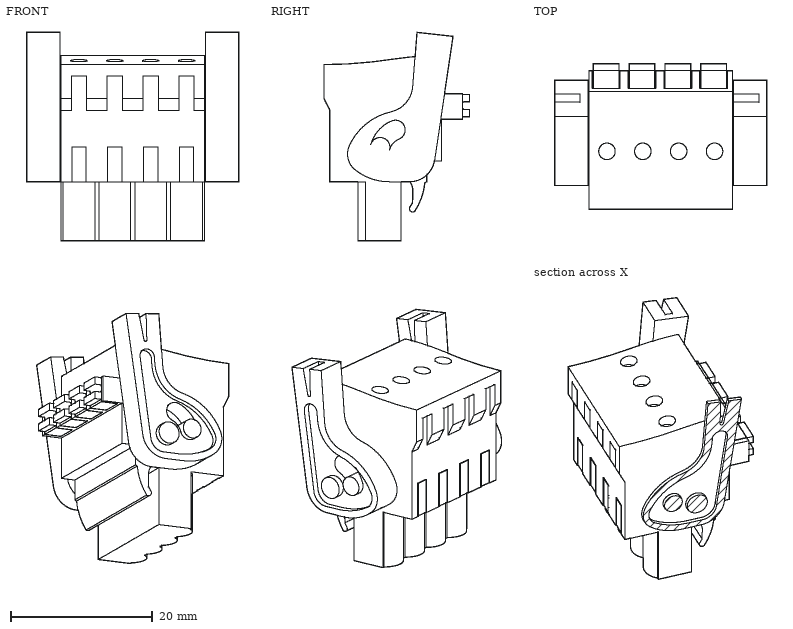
import cadquery as cq
import math


overall_width = 30.02
pole_count = 4
pole_pitch = 5.07
pole_positions = [(i - (pole_count - 1) / 2) * pole_pitch for i in range(pole_count)]

housing_width = 20.35
front_edge_height = 16.6
crest_y = 9.88
crest_height = 17.38
back_y = 16.7
back_edge_height = 17.9
lower_front_y = 0.85
overhang_bottom = 11.8
overhang_root = 10.12
foot_back_y = 14.6
foot_height = 2.9

ledge_back_y = 19.63
ledge_bottom = 8.83
ledge_top = 12.45

skirt_back_y = 10.95
skirt_front_y = 5.9
skirt_length = 8.35
barrel_chord = 4.47
barrel_bulge = 1.1

hole_diameter = 2.35
hole_y = 8.23
hole_floor = 15.7
upper_slot_width = 2.15
upper_slot_top = 14.95
lower_slot_width = 2.05
lower_slot_top = 4.95
lower_slot_depth = 0.12

button_offset = -0.12
button_width = 3.65
button_pocket_width = 3.87
button_front_y = 17.15
button_back_y = 20.65
prong_bottom = 9.2
prong_top = 12.37
prong_gap = (prong_top - prong_bottom) / 3
prong_root_radius = 0.25

lever_width = 4.75
lever_inner_x = overall_width / 2 - lever_width
arm_top = 21.15
recess_depth = 1.0
recess_bottom = 0.93
slit_depth = 3.6
pivot_y = 11.6
pivot_z = 3.87
pivot_radius = 1.55
guide_orbit = 3.75
guide_radius = 1.38
guide_angle = 164.3
guide_slot_end_angle = 112.7


def level_end_radius(run, rise):
    """Radius of an arc that is level at one end and climbs `rise` over `run`."""
    return (run ** 2 + rise ** 2) / (2 * rise)


def side_sketch(x):
    """Workplane at this X, with local axes Y and Z, extruding toward +X."""
    return cq.Workplane("YZ", origin=(x, 0, 0))


def box(x_mid, width, y_min, y_max, z_min, z_max):
    """Box centred on x_mid, between the given Y and Z limits."""
    size = (width, y_max - y_min, z_max - z_min)
    corner = (x_mid - width / 2, y_min, z_min)
    return cq.Workplane("XY", origin=corner).box(*size, centered=False)


def housing_body():
    """Extruded side profile, with a top that dips to the front and levels at the back."""
    front_sweep = level_end_radius(crest_y, crest_height - front_edge_height)
    back_sweep = level_end_radius(back_y - crest_y, back_edge_height - crest_height)
    return (
        side_sketch(-housing_width / 2)
        .moveTo(0, overhang_bottom)
        .lineTo(0, front_edge_height)
        .radiusArc((crest_y, crest_height), -front_sweep)
        .radiusArc((back_y, back_edge_height), back_sweep)
        .lineTo(back_y, ledge_top)
        .lineTo(ledge_back_y, ledge_top)
        .lineTo(ledge_back_y, ledge_bottom)
        .lineTo(back_y, ledge_bottom)
        .lineTo(back_y, foot_height)
        .lineTo(foot_back_y, foot_height)
        .lineTo(foot_back_y, 0)
        .lineTo(lower_front_y, 0)
        .lineTo(lower_front_y, overhang_root)
        .close()
        .extrude(housing_width)
    )


def latch_hook():
    """Hooked lip that hangs below the back of the housing."""
    return (
        side_sketch(-housing_width / 2)
        .moveTo(foot_back_y, 0)
        .lineTo(14.32, -0.15)
        .threePointArc((13.75, -2.52), (12.85, -4.23))
        .threePointArc((12.37, -4.23), (12.15, -3.6))
        .lineTo(12.55, -2.97)
        .lineTo(12.58, -1.08)
        .threePointArc((12.45, -0.55), (12.2, 0))
        .close()
        .extrude(housing_width)
    )


def plug_skirt():
    """Block below the body, with one bulging barrel per pole on its front."""
    skirt = box(0, housing_width, skirt_front_y, skirt_back_y, -skirt_length, 0)
    for x in pole_positions:
        barrel = (
            cq.Workplane("XY", origin=(x, skirt_front_y, -skirt_length))
            .moveTo(-barrel_chord / 2, 0)
            .threePointArc((0, -barrel_bulge), (barrel_chord / 2, 0))
            .close()
            .extrude(skirt_length)
        )
        skirt = skirt.union(barrel)
    return skirt


def pole_openings(x):
    """Everything cut from the housing at one pole."""
    test_hole = (
        cq.Workplane("XY", origin=(x, hole_y, hole_floor))
        .circle(hole_diameter / 2)
        .extrude(back_edge_height - hole_floor)
    )
    upper_slot = box(x, upper_slot_width, 0, lower_front_y, overhang_root, upper_slot_top)
    lower_slot = box(
        x, lower_slot_width, lower_front_y, lower_front_y + lower_slot_depth, 0, lower_slot_top
    )
    button_pocket = box(
        x + button_offset, button_pocket_width, button_front_y, ledge_back_y, ledge_bottom, ledge_top
    )
    return test_hole, upper_slot, lower_slot, button_pocket


def make_housing():
    housing = housing_body().union(latch_hook()).union(plug_skirt())
    for x in pole_positions:
        for opening in pole_openings(x):
            housing = housing.cut(opening)
    return housing


def make_button(x):
    """Block filling a ledge pocket, with two prongs on its back."""
    body = box(x, button_width, button_front_y, ledge_back_y, ledge_bottom, ledge_top)
    prongs = box(x, button_width, ledge_back_y, button_back_y, prong_bottom, prong_top)
    gap = box(
        x, button_width, ledge_back_y, button_back_y,
        prong_bottom + prong_gap, prong_top - prong_gap,
    )
    rounded_gap = gap.edges("|X and <Y").fillet(prong_root_radius)
    return body.union(prongs).cut(rounded_gap)


def lever_blank(x):
    """Solid lever: a leaning arm that flows through tangent arcs into a rounded foot."""
    return (
        side_sketch(x)
        .moveTo(15.7, 3.1)
        .lineTo(18.3, 20.6)
        .lineTo(13.18, arm_top)
        .lineTo(12.58, 13.45)
        .tangentArcPoint((9.52, 9.9), relative=False)
        .tangentArcPoint((3.95, 5.8), relative=False)
        .lineTo(3.65, 5.2)
        .tangentArcPoint((4.4, 1.7), relative=False)
        .tangentArcPoint((9.5, 0), relative=False)
        .lineTo(12.13, 0)
        .tangentArcPoint((15.7, 3.1), relative=False)
        .close()
        .extrude(lever_width)
    )


def lever_recess(x):
    """Shallow pocket that follows the lever outline inside a narrow rim."""
    return (
        side_sketch(x)
        .moveTo(14.45, 2.7)
        .lineTo(16.12, 14.47)
        .tangentArcPoint((13.9, 14.47), relative=False)
        .lineTo(13.78, 13.42)
        .tangentArcPoint((9.9, 8.98), relative=False)
        .tangentArcPoint((4.47, 4.6), relative=False)
        .tangentArcPoint((5.15, 2.28), relative=False)
        .tangentArcPoint((10.05, recess_bottom), relative=False)
        .lineTo(12.4, recess_bottom)
        .tangentArcPoint((14.45, 2.7), relative=False)
        .close()
        .extrude(recess_depth)
    )


def lever_slit(x):
    """Tapered slit with a round end, open at the top of the arm."""
    return (
        side_sketch(x)
        .moveTo(16.4, arm_top)
        .lineTo(15.52, 17.05)
        .threePointArc((15.28, 16.85), (15.07, 17.05))
        .lineTo(15.2, arm_top)
        .close()
        .extrude(slit_depth)
    )


def around_pivot(radius, angle):
    """Point at this radius and angle about the lever pivot."""
    turn = math.radians(angle)
    return pivot_y + radius * math.cos(turn), pivot_z + radius * math.sin(turn)


def guide_slot(x):
    """Slot through the lever, curved about the pivot."""
    inner = guide_orbit - guide_radius
    outer = guide_orbit + guide_radius
    middle_angle = (guide_angle + guide_slot_end_angle) / 2
    band = (
        side_sketch(x)
        .moveTo(*around_pivot(inner, guide_angle))
        .threePointArc(
            around_pivot(inner, middle_angle), around_pivot(inner, guide_slot_end_angle)
        )
        .lineTo(*around_pivot(outer, guide_slot_end_angle))
        .threePointArc(around_pivot(outer, middle_angle), around_pivot(outer, guide_angle))
        .close()
        .extrude(lever_width)
    )
    return band.union(lever_pin(x, around_pivot(guide_orbit, guide_slot_end_angle), guide_radius))


def lever_pin(x, centre, radius):
    """Round pin as long as the lever is wide."""
    return side_sketch(x).center(*centre).circle(radius).extrude(lever_width)


def make_lever(x):
    """Lever whose recessed face lies at this X."""
    guide_centre = around_pivot(guide_orbit, guide_angle)
    return (
        lever_blank(x)
        .cut(lever_recess(x))
        .cut(lever_slit(x))
        .cut(guide_slot(x))
        .union(lever_pin(x, (pivot_y, pivot_z), pivot_radius))
        .union(lever_pin(x, guide_centre, guide_radius))
    )


housing = make_housing()
buttons = [make_button(x + button_offset) for x in pole_positions]
levers = [make_lever(x) for x in (-overall_width / 2, lever_inner_x)]

result = cq.Compound.makeCompound(
    [housing.val()] + [button.val() for button in buttons] + [lever.val() for lever in levers]
)